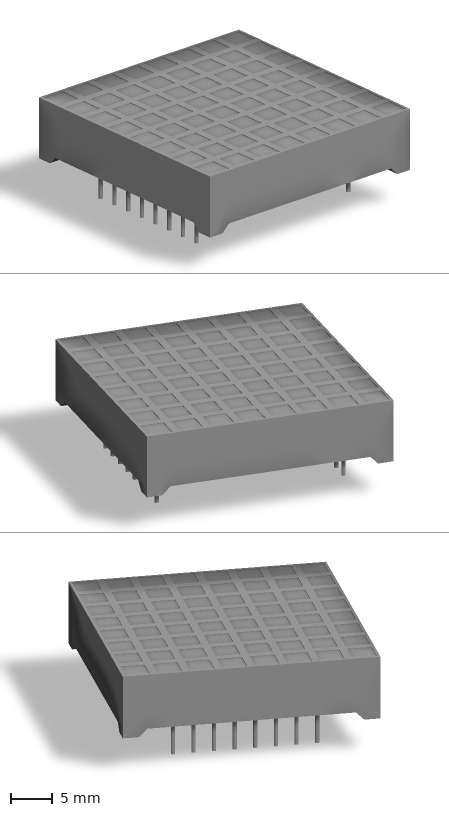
import cadquery as cq

body_side = 31.7
body_height = 8.0

relief_depth = 1.0
foot_width = 2.0
relief_bottom_width = body_side - 2 * foot_width
relief_top_width = relief_bottom_width - 2 * relief_depth

total_height = 12.0
pin_diameter = 0.5
pins_per_row = 8
pin_pitch = 2.55
pin_row_spacing = 24.0
pin_length = total_height - body_height + relief_depth

dots_per_side = 8
dot_pitch = 4.0
dot_side = 3.0
dot_depth = 0.1


def relief_channel(plane):
    """Channel with 45 degree flanks running right through the housing underside."""
    return (
        cq.Workplane(plane)
        .moveTo(-relief_bottom_width / 2, 0)
        .lineTo(-relief_top_width / 2, relief_depth)
        .lineTo(relief_top_width / 2, relief_depth)
        .lineTo(relief_bottom_width / 2, 0)
        .close()
        .extrude(body_side / 2, both=True)
    )


def make_housing():
    """Block standing on four corner feet, with the feet resting on z = 0."""
    block = cq.Workplane("XY").box(body_side, body_side, body_height, centered=(True, True, False))
    for plane in ("XZ", "YZ"):
        block = block.cut(relief_channel(plane))
    return block


def make_dots():
    """Grid of square window cutters reaching down from the top face."""
    return (
        cq.Workplane("XY", origin=(0, 0, body_height))
        .rarray(dot_pitch, dot_pitch, dots_per_side, dots_per_side)
        .rect(dot_side, dot_side)
        .extrude(-dot_depth)
    )


def make_pins():
    """Two rows of round pins hanging from the relieved underside."""
    return (
        cq.Workplane("XY", origin=(0, 0, relief_depth))
        .rarray(pin_pitch, pin_row_spacing, pins_per_row, 2)
        .circle(pin_diameter / 2)
        .extrude(-pin_length)
    )


result = make_housing().cut(make_dots()).union(make_pins())